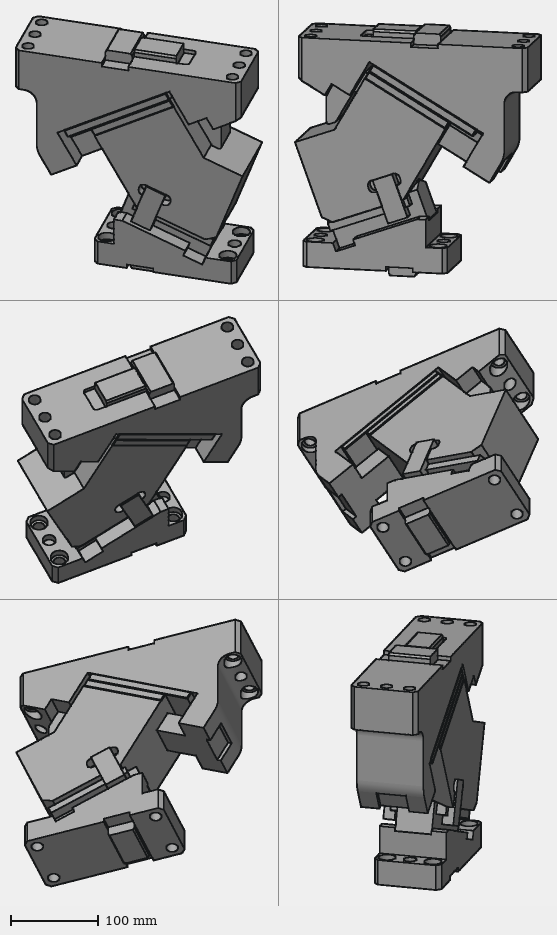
import cadquery as cq
import math


BODY_WIDTH = 80.0
CORNER_CHAMFER = 5.2
MOUNT_OFFSET = 12.5
MOUNT_SPACING = 27.5
MOUNT_DIAMETER = 13.5
COUNTERBORE_DIAMETER = 20.0
COUNTERBORE_DEPTH = 9.0
KEY_LENGTH = 32.0
KEY_WIDTH = 49.7
KEY_SEAT_DEPTH = 5.0
KEY_PROJECTION = 8.5
BEVEL_HEIGHT = 3.0
BEVEL_INSET = 1.7

HOLDER_TOP = 269.8
HOLDER_LENGTH = 270.0
HOLDER_FLANGE_BOTTOM = 217.8
LEG_X = 26.5
LEG_NECK_RADIUS = 15.0
LEG_BEND_RADIUS = 29.3
HOLDER_KEY_X = 104.5
RAIL_END_X = 186.5
RAIL_SLOT_END_X = 201.8
RAIL_WIDTH = 32.1
RAIL_SLOT_RADIUS = 4.0

RAMP_ANGLE = math.radians(30)
RAMP_X = 51.5
RAMP_Z = 167.3
SLOT_LENGTH = 155.0
LEG_THICKNESS = 35.3
PLATE_THICKNESS = 9.8
PLATE_START = 8.5
SLIDE_START = 40.2
SLIDE_END = 149.8
PLATE_BEVEL = 1.0
BAR_WIDTH = 35.5
BAR_HEIGHT = 26.7
BAR_TOP = 2 * PLATE_THICKNESS
BAR_BOTTOM = BAR_TOP + BAR_HEIGHT
BAR_RECESS = 5.2
STOP_END = 179.7
STOP_SEAT_DEPTH = 16.0
STOP_X = 241.5
STOP_GAP = 5.2
STOP_RADIUS = 3.0

DRIVER_X = 94.5
DRIVER_LENGTH = 170.2
DRIVER_FLANGE_TOP = 29.8
DRIVER_BLOCK_X = 119.0
DRIVER_BLOCK_TOP = 62.5
DRIVER_KEY_X = 134.3
DOWEL_DIAMETER = 15.0
DOWEL_DEPTH = 9.2

CAM_ANGLE = math.radians(20)
CAM_X = 129.2
GUIDE_START = -7.0
GUIDE_END = 104.5
HEAD_START = 4.5
HEAD_HALF_WIDTH = 33.3
HEAD_BOTTOM = 16.6
STEM_HALF_WIDTH = 21.8
STEM_FOOT_DEPTH = 4.3
RIDGE_HALF_WIDTH = 5.2
RIDGE_HEIGHT = 36.5
ROOF_ANGLE = math.radians(20)
EAVES_HEIGHT = RIDGE_HEIGHT - (HEAD_HALF_WIDTH - RIDGE_HALF_WIDTH) * math.tan(ROOF_ANGLE)
POCKET_START = 80.5
POCKET_DEPTH = 7.2

SLIDE_FRONT_RUN = 106.8
SLIDE_FRONT_TOP = 128.0
SLIDE_BEVEL_RUN = 96.1
SLIDE_BEVEL_TOP = 35.5
RIDGE_RELIEF = 1.7
CLIP_START = 9.5
CLIP_END = 34.0
CLIP_BOTTOM = 5.7
CLIP_TOP = 58.8
CLIP_SPAN = 84.0
CLIP_INNER = 34.2
CLIP_HOOK_INNER = 28.5
CLIP_HOOK_TOP = 16.0
CLIP_SLOT_START = 2.5
CLIP_SLOT_END = 42.2
CLIP_SLOT_HEIGHT = 14.4
CLIP_SLOT_RADIUS = 6.3

CUT_MARGIN = 3.0


def ramp(along, depth):
    """X and Z of a point on the slideway."""
    x = RAMP_X + along * math.cos(RAMP_ANGLE) + depth * math.sin(RAMP_ANGLE)
    z = RAMP_Z + along * math.sin(RAMP_ANGLE) - depth * math.cos(RAMP_ANGLE)
    return x, z


def cam(run, height):
    """X and Z of a point on the cam face."""
    x = CAM_X + run * math.cos(CAM_ANGLE) + height * math.sin(CAM_ANGLE)
    z = DRIVER_BLOCK_TOP - run * math.sin(CAM_ANGLE) + height * math.cos(CAM_ANGLE)
    return x, z


def ramp_at_x(along, x):
    """Point where the line square to the ramp at `along` reaches x."""
    return ramp(along, (x - ramp(along, 0)[0]) / math.sin(RAMP_ANGLE))


def ramp_at_height(along, height):
    """Point where the line square to the ramp at `along` reaches a height above the cam face."""
    x, z = ramp(along, 0)
    start = (x - CAM_X) * math.sin(CAM_ANGLE) + (z - DRIVER_BLOCK_TOP) * math.cos(CAM_ANGLE)
    return ramp(along, (start - height) / math.cos(RAMP_ANGLE + CAM_ANGLE))


def prism(points, width):
    """An X-Z outline extruded to both sides of the middle plane."""
    return cq.Workplane("XZ").polyline(points).close().extrude(width / 2, both=True)


def block(frame, start, end, low, high, width):
    """A box given by its limits in the ramp or cam frame."""
    corners = [frame(start, low), frame(end, low), frame(end, high), frame(start, high)]
    return prism(corners, width)


def cylinder(x, y, bottom, top, diameter):
    return cq.Workplane("XY", origin=(x, y, bottom)).circle(diameter / 2).extrude(top - bottom)


def edge_at(x, z):
    return cq.NearestToPointSelector((x, 0, z))


def key_profile(length, low, high):
    """Bar section whose two corners at the `high` level are bevelled; `high` may lie below `low`."""
    shoulder = high - math.copysign(BEVEL_HEIGHT, high - low)
    half = length / 2
    return [
        (-half, low), (half, low), (half, shoulder), (half - BEVEL_INSET, high),
        (BEVEL_INSET - half, high), (-half, shoulder),
    ]


def key(start_x, low, high):
    section = [(start_x + KEY_LENGTH / 2 + x, z) for x, z in key_profile(KEY_LENGTH, low, high)]
    return prism(section, KEY_WIDTH)


def cross_box(start_x, end_x, low, high, width):
    return prism([(start_x, low), (end_x, low), (end_x, high), (start_x, high)], width)


def wear_plate(start, top_depth):
    """Sliding plate lying along the ramp, bevelled around both side faces."""
    plate = block(ramp, start, SLIDE_END, top_depth, top_depth + PLATE_THICKNESS, BODY_WIDTH)
    return plate.faces("<Y or >Y").edges().chamfer(PLATE_BEVEL)


def holder_body():
    leg_bend = ramp_at_x(-LEG_THICKNESS, LEG_X)
    nose_depth = BAR_BOTTOM + STOP_SEAT_DEPTH
    nose_along = (HOLDER_LENGTH - ramp(0, nose_depth)[0]) / math.cos(RAMP_ANGLE)
    outline = [
        (0, HOLDER_TOP),
        (HOLDER_LENGTH, HOLDER_TOP),
        ramp(nose_along, nose_depth),
        ramp(STOP_END, nose_depth),
        ramp(STOP_END, BAR_BOTTOM),
        ramp(SLOT_LENGTH, BAR_BOTTOM),
        ramp(SLOT_LENGTH, 0),
        ramp(0, 0),
        ramp(0, BAR_BOTTOM),
        ramp(-LEG_THICKNESS, BAR_BOTTOM),
        leg_bend,
        (LEG_X, HOLDER_FLANGE_BOTTOM),
        (0, HOLDER_FLANGE_BOTTOM),
    ]
    body = prism(outline, BODY_WIDTH)
    body = body.edges(edge_at(LEG_X, HOLDER_FLANGE_BOTTOM)).fillet(LEG_NECK_RADIUS)
    body = body.edges(edge_at(*leg_bend)).fillet(LEG_BEND_RADIUS)
    return body.edges("|Z and (<X or >X)").chamfer(CORNER_CHAMFER)


def stop_block():
    """Stop under the right leg that limits the travel of the slide."""
    bottom = SLIDE_FRONT_TOP + STOP_GAP
    toe = cam((STOP_X - cam(0, bottom)[0]) / math.cos(CAM_ANGLE), bottom)
    heel = ramp_at_height(SLOT_LENGTH, bottom)
    outline = [
        ramp(SLOT_LENGTH, BAR_BOTTOM),
        ramp(STOP_END, BAR_BOTTOM),
        ramp_at_x(STOP_END, STOP_X),
        toe,
        heel,
    ]
    stop = prism(outline, BAR_WIDTH)
    for corner in (toe, heel):
        stop = stop.edges(edge_at(*corner)).fillet(STOP_RADIUS)
    return stop


def holder_rail():
    start = HOLDER_KEY_X + KEY_LENGTH
    low = HOLDER_TOP - KEY_SEAT_DEPTH
    section = key_profile(RAIL_WIDTH, low, HOLDER_TOP + KEY_PROJECTION)
    rail = cq.Workplane("YZ", origin=(start, 0, 0)).polyline(section).close()
    return rail.extrude(RAIL_END_X - start)


def rail_slot():
    slot = cross_box(
        HOLDER_KEY_X, RAIL_SLOT_END_X, HOLDER_TOP - KEY_SEAT_DEPTH, HOLDER_TOP + CUT_MARGIN, RAIL_WIDTH
    )
    return slot.edges("|Z and >X").fillet(RAIL_SLOT_RADIUS)


def make_holder():
    seat = HOLDER_TOP - KEY_SEAT_DEPTH
    holder = holder_body()
    holder = holder.cut(
        cross_box(HOLDER_KEY_X, HOLDER_KEY_X + KEY_LENGTH, seat, HOLDER_TOP + CUT_MARGIN, BODY_WIDTH)
    )
    holder = holder.cut(rail_slot())
    holder = holder.union(key(HOLDER_KEY_X, seat, HOLDER_TOP + KEY_PROJECTION))
    holder = holder.union(holder_rail())
    holder = holder.union(wear_plate(PLATE_START, 0))

    holder = holder.union(block(ramp, 0, SLOT_LENGTH, BAR_TOP, BAR_BOTTOM, BAR_WIDTH))
    recess = block(
        ramp, -LEG_THICKNESS - CUT_MARGIN, BAR_RECESS - LEG_THICKNESS,
        BAR_TOP, BAR_BOTTOM + CUT_MARGIN, BAR_WIDTH,
    )
    holder = holder.cut(recess).union(stop_block())

    bore_seat = HOLDER_FLANGE_BOTTOM + COUNTERBORE_DEPTH
    bottom = RAMP_Z
    for x in (MOUNT_OFFSET, HOLDER_LENGTH - MOUNT_OFFSET):
        for y in (-MOUNT_SPACING, 0, MOUNT_SPACING):
            holder = holder.cut(cylinder(x, y, bottom, HOLDER_TOP, MOUNT_DIAMETER))
            if y != 0:
                holder = holder.cut(cylinder(x, y, bottom, bore_seat, COUNTERBORE_DIAMETER))
    return holder


def roof_half(half_width):
    """Right half of the roof section, from the eaves at `half_width` up to the ridge."""
    drop = (half_width - RIDGE_HALF_WIDTH) * math.tan(ROOF_ANGLE)
    return [(half_width, RIDGE_HEIGHT - drop), (RIDGE_HALF_WIDTH, RIDGE_HEIGHT)]


def along_cam(half_section, start, end):
    """Mirror a half section (Y, height) about the middle plane and sweep it along the cam face."""
    x, z = cam(start, 0)
    plane = cq.Plane(
        origin=(x, 0, z), xDir=(0, 1, 0), normal=(math.cos(CAM_ANGLE), 0, -math.sin(CAM_ANGLE))
    )
    mirrored = [(-y, height) for y, height in reversed(half_section)]
    return cq.Workplane(plane).polyline(half_section + mirrored).close().extrude(end - start)


def guide_head():
    stem = along_cam([(STEM_HALF_WIDTH, -POCKET_DEPTH)] + roof_half(STEM_HALF_WIDTH), GUIDE_START, GUIDE_END)
    head = along_cam([(HEAD_HALF_WIDTH, HEAD_BOTTOM)] + roof_half(HEAD_HALF_WIDTH), HEAD_START, GUIDE_END)
    return stem.union(head)


def make_driver():
    end_x = DRIVER_X + DRIVER_LENGTH
    driver = cross_box(DRIVER_X, end_x, 0, DRIVER_FLANGE_TOP, BODY_WIDTH)
    driver = driver.edges("|Z").chamfer(CORNER_CHAMFER)
    cam_block = [
        (DRIVER_BLOCK_X, 0),
        (DRIVER_BLOCK_X, DRIVER_BLOCK_TOP),
        (CAM_X, DRIVER_BLOCK_TOP),
        cam(GUIDE_END, 0),
        (cam(GUIDE_END, 0)[0], 0),
    ]
    driver = driver.union(prism(cam_block, BODY_WIDTH))

    driver = driver.cut(block(cam, POCKET_START, GUIDE_END, -POCKET_DEPTH, EAVES_HEIGHT, BODY_WIDTH))

    notch_floor = DRIVER_BLOCK_TOP - STEM_FOOT_DEPTH
    driver = driver.cut(cross_box(DRIVER_BLOCK_X, CAM_X, notch_floor, DRIVER_BLOCK_TOP, 2 * STEM_HALF_WIDTH))
    driver = driver.union(guide_head())

    key_slot = cross_box(DRIVER_KEY_X, DRIVER_KEY_X + KEY_LENGTH, -CUT_MARGIN, KEY_SEAT_DEPTH, BODY_WIDTH)
    driver = driver.cut(key_slot).union(key(DRIVER_KEY_X, KEY_SEAT_DEPTH, -KEY_PROJECTION))

    for x in (DRIVER_X + MOUNT_OFFSET, end_x - MOUNT_OFFSET):
        driver = driver.cut(
            cylinder(x, 0, DRIVER_FLANGE_TOP - DOWEL_DEPTH, DRIVER_FLANGE_TOP, DOWEL_DIAMETER)
        )
        for y in (-MOUNT_SPACING, MOUNT_SPACING):
            seat = DRIVER_FLANGE_TOP - COUNTERBORE_DEPTH
            driver = driver.cut(cylinder(x, y, 0, DRIVER_FLANGE_TOP, MOUNT_DIAMETER))
            driver = driver.cut(cylinder(x, y, seat, DRIVER_FLANGE_TOP, COUNTERBORE_DIAMETER))
    return driver


def slide_body():
    outline = [
        ramp(SLIDE_START, BAR_TOP),
        ramp_at_height(SLIDE_START, EAVES_HEIGHT),
        cam(SLIDE_BEVEL_RUN, EAVES_HEIGHT),
        cam(SLIDE_FRONT_RUN, SLIDE_BEVEL_TOP),
        cam(SLIDE_FRONT_RUN, SLIDE_FRONT_TOP),
        ramp_at_height(SLIDE_END, SLIDE_FRONT_TOP),
        ramp(SLIDE_END, BAR_TOP),
    ]
    return prism(outline, BODY_WIDTH)


def roof_groove():
    """Groove in the slide that fits the roof of the guide head, with a relief over the ridge."""
    section = [(HEAD_HALF_WIDTH, EAVES_HEIGHT - CUT_MARGIN)] + roof_half(HEAD_HALF_WIDTH)
    section.append((RIDGE_HALF_WIDTH, RIDGE_HEIGHT + RIDGE_RELIEF))
    return along_cam(section, GUIDE_START - CUT_MARGIN, SLIDE_FRONT_RUN + CUT_MARGIN)


def clip_slots():
    slots = block(
        cam, CLIP_SLOT_START, CLIP_SLOT_END, CLIP_TOP - CLIP_SLOT_HEIGHT, CLIP_TOP, CLIP_SPAN
    )
    slots = slots.edges("|Y").fillet(CLIP_SLOT_RADIUS)
    return slots.cut(
        block(
            cam, CLIP_SLOT_START, CLIP_SLOT_END, CLIP_TOP - CLIP_SLOT_HEIGHT, CLIP_TOP, 2 * CLIP_HOOK_INNER
        )
    )


def return_clips():
    """C-shaped clips on both sides whose lower hooks reach under the guide head."""
    clips = block(cam, CLIP_START, CLIP_END, CLIP_BOTTOM, CLIP_TOP, CLIP_SPAN)
    core = block(cam, CLIP_START, CLIP_END, CLIP_BOTTOM, CLIP_TOP, 2 * CLIP_HOOK_INNER)
    throat = block(
        cam, CLIP_START, CLIP_END, CLIP_HOOK_TOP, CLIP_TOP - CLIP_SLOT_HEIGHT, 2 * CLIP_INNER
    )
    return clips.cut(core).cut(throat)


def make_slide():
    slide = slide_body().cut(roof_groove())
    slide = slide.cut(block(ramp, SLIDE_START, SLIDE_END, BAR_TOP, BAR_BOTTOM, BAR_WIDTH))
    slide = slide.union(wear_plate(SLIDE_START, PLATE_THICKNESS))
    return slide.cut(clip_slots()).union(return_clips())


holder = make_holder()
driver = make_driver()
slide = make_slide()

result = cq.Compound.makeCompound([body.solids().val() for body in (holder, driver, slide)])